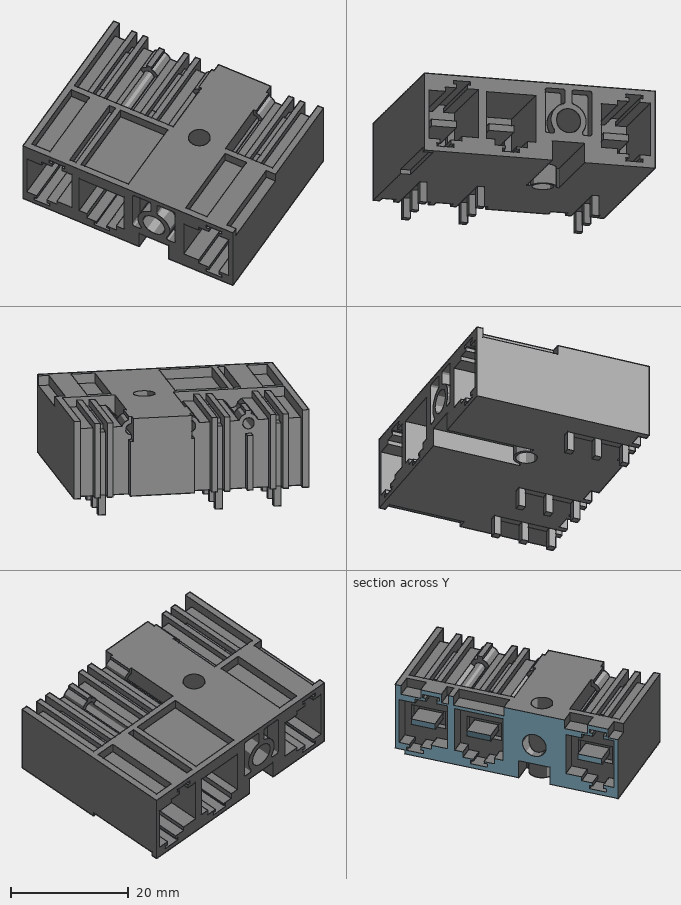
import cadquery as cq

LENGTH = 40.65
DEPTH = 32.0
HEIGHT = 13.6
OVERALL_HEIGHT = 17.1

PITCH = 10.1
FIRST_STATION = 5.12
STATIONS = [FIRST_STATION + PITCH * i for i in range(4)]
LEFT_JACK, MIDDLE_JACK, MOUNT, RIGHT_JACK = STATIONS
JACKS = [LEFT_JACK, MIDDLE_JACK, RIGHT_JACK]
DIVIDERS = [x + PITCH / 2 for x in STATIONS[:3]]
DIVIDER_HALF = 0.5
SIDE_WALL = 1.15

LIP = 1.1
JACK_BACK = 15.0
BAY_FRONT = 16.05
TUBE_FRONT = 25.93
BAY_END = 30.45

TOP_POCKET_DEPTH = 1.7
FLOOR = HEIGHT - TOP_POCKET_DEPTH
UNDER_POCKET_HEIGHT = 0.77

MID_Z = 6.8
CAVITY_HALF = 4.35
LOW_RISE = 3.85
HIGH_RISE = 4.65
KEY_OFFSET = 1.45
KEY_NECK_HALF = 0.98
KEY_HEAD_HALF = 1.5
KEY_NECK_RISE = 5.32
KEY_HEAD_RISE = 5.9
KEY_WALL_HALF = 1.9
MIDDLE_ROOF = 11.18
MIDDLE_STEP_HALF = 2.85
MIDDLE_STEP_RISE = 4.9
APERTURE_WIDTH = 6.2
APERTURE_HEIGHT = 3.4

FIN_WIDTH = 0.98
FIN_TOP = 13.05
TUBE_RADIUS = 1.75
TUBE_BORE = 0.98
TUBE_Z = 11.35
TUBE_HALF_AT_FLOOR = (TUBE_RADIUS**2 - (FLOOR - TUBE_Z) ** 2) ** 0.5
REAR_DIVIDER_TOP = TUBE_Z - TUBE_RADIUS

MOUNT_Y = 16.0
MOUNT_HOLE_RADIUS = 1.83
MOUNT_POST_RADIUS = 2.25
POST_FLARE = 0.3
BORE_RADIUS = 2.1
BORE_Z = 7.2
COLLAR_RADIUS = 3.1
RELIEF_HALF = 4.1
RELIEF_BOTTOM = 4.8
RELIEF_TOP = 12.7
RELIEF_DEPTH = 2.5
RELIEF_FILLET = 0.4
WEB_HALF = 0.6
NOTCH_HALF = 2.85
NOTCH_HEIGHT = 3.4

PLATE_THICKNESS = 1.2
PLATE_FRONT = 18.85
PLATE_BACK = 30.28
PLATE_STEP_Y = 28.25
PLATE_STEP_DROP = 0.8
BLADE_WIDTH = 4.4
BLADE_THICKNESS = 1.18
BLADE_TIP = 6.1
TAIL_WIDTH = 1.2
TAIL_PITCH = 5.1
TAIL_COUNT = 3
TAIL_LENGTH = OVERALL_HEIGHT - HEIGHT


def block(x0, x1, y0, y1, z0, z1):
    """Box between two opposite corners."""
    return cq.Workplane("XY").box(x1 - x0, y1 - y0, z1 - z0, centered=False).translate((x0, y0, z0))


def rod(x, z, radius, y0, y1):
    """Cylinder along Y."""
    return cq.Workplane("XZ", origin=(x, y0, z)).circle(radius).extrude(y0 - y1)


def post(radius, height):
    """Upright cylinder on the mounting axis, standing on the underside."""
    return cq.Workplane("XY").center(MOUNT, MOUNT_Y).circle(radius).extrude(height)


def side_key(x, side):
    """T-shaped key slot above (side = 1) or below (side = -1) the middle of a jack cavity."""
    neck = sorted([MID_Z, MID_Z + side * KEY_NECK_RISE])
    head = sorted([MID_Z + side * KEY_NECK_RISE, MID_Z + side * KEY_HEAD_RISE])
    key = block(x - KEY_NECK_HALF, x + KEY_NECK_HALF, 0, JACK_BACK, *neck)
    return key.union(block(x - KEY_HEAD_HALF, x + KEY_HEAD_HALF, 0, JACK_BACK, *head))


def outer_half_cavity(x, side, key_direction):
    """Upper or lower half of an outer jack cavity, taller on the side that holds the key slot."""
    low = sorted([MID_Z, MID_Z + side * LOW_RISE])
    high = sorted([MID_Z, MID_Z + side * HIGH_RISE])
    tall_edges = sorted([x - key_direction * KEY_OFFSET, x + key_direction * CAVITY_HALF])
    half = block(x - CAVITY_HALF, x + CAVITY_HALF, 0, JACK_BACK, *low)
    half = half.union(block(*tall_edges, 0, JACK_BACK, *high))
    return half.union(side_key(x + key_direction * KEY_OFFSET, side))


def middle_cavity(x):
    """Symmetric jack cavity with one key slot, in its floor."""
    cavity = block(x - CAVITY_HALF, x + CAVITY_HALF, 0, JACK_BACK, MID_Z - LOW_RISE, MIDDLE_ROOF)
    step = block(
        x - MIDDLE_STEP_HALF, x + MIDDLE_STEP_HALF, 0, JACK_BACK, MID_Z - MIDDLE_STEP_RISE, MID_Z
    )
    return cavity.union(step).union(side_key(x, -1))


def terminal_aperture(x):
    """Rectangular opening in the back of a jack cavity, around the terminal blade."""
    half_width = APERTURE_WIDTH / 2
    half_height = APERTURE_HEIGHT / 2
    return block(
        x - half_width, x + half_width, JACK_BACK, BAY_FRONT, MID_Z - half_height, MID_Z + half_height
    )


def top_pockets():
    """Pockets in the top face, between the walls, the dividers and the key slots."""
    key_left = KEY_OFFSET - KEY_WALL_HALF
    key_right = KEY_OFFSET + KEY_WALL_HALF
    spans = [
        (SIDE_WALL, LEFT_JACK + key_left),
        (LEFT_JACK + key_right, DIVIDERS[0] - DIVIDER_HALF),
        (DIVIDERS[0] + DIVIDER_HALF, DIVIDERS[1] - DIVIDER_HALF),
        (DIVIDERS[2] + DIVIDER_HALF, RIGHT_JACK + key_left),
        (RIGHT_JACK + key_right, LENGTH),
    ]
    pockets = cq.Workplane("XY")
    for left, right in spans:
        pockets = pockets.add(block(left, right, LIP, JACK_BACK, FLOOR, HEIGHT))
    return pockets.combine()


def under_pocket():
    """Shallow pocket in the underside, beside the left key slot and open through the left wall."""
    right = LEFT_JACK - KEY_OFFSET - KEY_WALL_HALF
    return block(0, right, LIP, JACK_BACK, 0, UNDER_POCKET_HEIGHT)


def rear_bay(left, right):
    """Bay open at the top, and open at full height behind its floor."""
    bay = block(left, right, BAY_FRONT, BAY_END, FLOOR, HEIGHT)
    return bay.union(block(left, right, BAY_END, DEPTH, 0, HEIGHT))


def guide_fins(x):
    """Two fins that flank the slot of a terminal plate."""
    fins = cq.Workplane("XY")
    for left in (x - PLATE_THICKNESS / 2 - FIN_WIDTH, x + PLATE_THICKNESS / 2):
        fins = fins.add(block(left, left + FIN_WIDTH, BAY_FRONT, DEPTH, 0, FIN_TOP))
    return fins.combine()


def guide_tube(x):
    """Tube on a divider, with a rib on top and the divider carried on to the rear below it."""
    left = x - DIVIDER_HALF
    right = x + DIVIDER_HALF
    tube = rod(x, TUBE_Z, TUBE_RADIUS, TUBE_FRONT, BAY_END)
    rib = block(left, right, TUBE_FRONT, BAY_END, TUBE_Z, HEIGHT)
    divider = block(left, right, BAY_END, DEPTH, 0, REAR_DIVIDER_TOP)
    return tube.union(rib).union(divider)


def guide_channel(x):
    """Bore of a guide tube, with a flared groove in the floor in front of the tube."""
    groove = (
        cq.Workplane("XZ", origin=(x, BAY_FRONT, 0))
        .moveTo(-TUBE_HALF_AT_FLOOR, FLOOR)
        .lineTo(TUBE_HALF_AT_FLOOR, FLOOR)
        .lineTo(TUBE_BORE, TUBE_Z)
        .lineTo(-TUBE_BORE, TUBE_Z)
        .close()
        .extrude(BAY_FRONT - TUBE_FRONT)
    )
    return groove.union(rod(x, TUBE_Z, TUBE_BORE, BAY_FRONT, BAY_END))


def terminal(x):
    """Upright plate with a flat blade to the front and a row of tails below."""
    half_plate = PLATE_THICKNESS / 2
    half_blade = BLADE_WIDTH / 2
    half_thickness = BLADE_THICKNESS / 2
    body = block(x - half_plate, x + half_plate, PLATE_FRONT, PLATE_BACK, 0, FLOOR)
    step = block(
        x - half_plate, x + half_plate, PLATE_STEP_Y, PLATE_BACK, FLOOR - PLATE_STEP_DROP, FLOOR
    )
    body = body.cut(step)
    body = body.union(
        block(
            x - half_blade,
            x + half_blade,
            BLADE_TIP,
            PLATE_FRONT,
            MID_Z - half_thickness,
            MID_Z + half_thickness,
        )
    )
    for i in range(TAIL_COUNT):
        front = PLATE_FRONT + i * TAIL_PITCH
        tail = block(x - half_plate, x + half_plate, front, front + TAIL_WIDTH, -TAIL_LENGTH, 0)
        body = body.union(tail)
    return body


def terminal_slot(x):
    """Slot that holds a terminal plate and its blade, open at the floor, underside and rear."""
    half_plate = PLATE_THICKNESS / 2
    plate_slot = block(x - half_plate, x + half_plate, PLATE_FRONT, DEPTH, 0, FLOOR)
    return plate_slot.union(terminal(x))


def front_reliefs():
    """Two relief pockets either side of the bore collar and of the web above it."""
    reliefs = (
        block(MOUNT - RELIEF_HALF, MOUNT + RELIEF_HALF, 0, RELIEF_DEPTH, RELIEF_BOTTOM, RELIEF_TOP)
        .cut(rod(MOUNT, BORE_Z, COLLAR_RADIUS, 0, RELIEF_DEPTH))
        .cut(block(MOUNT - WEB_HALF, MOUNT + WEB_HALF, 0, RELIEF_DEPTH, BORE_Z, RELIEF_TOP))
    )
    return reliefs.edges("|Y").fillet(RELIEF_FILLET)


def post_flare():
    """Wedges that widen the round post where it meets the back wall of the notch."""
    base = MOUNT_POST_RADIUS + POST_FLARE
    return (
        cq.Workplane("XY")
        .moveTo(MOUNT - base, MOUNT_Y)
        .lineTo(MOUNT + base, MOUNT_Y)
        .lineTo(MOUNT + MOUNT_POST_RADIUS, MOUNT_Y - POST_FLARE)
        .lineTo(MOUNT - MOUNT_POST_RADIUS, MOUNT_Y - POST_FLARE)
        .close()
        .extrude(NOTCH_HEIGHT)
    )


def mount_openings():
    """Front bore and bottom notch, both reaching back to the round post of the mounting hole."""
    bore = rod(MOUNT, BORE_Z, BORE_RADIUS, 0, MOUNT_Y)
    notch = block(MOUNT - NOTCH_HALF, MOUNT + NOTCH_HALF, 0, MOUNT_Y, 0, NOTCH_HEIGHT)
    return bore.union(notch).cut(post(MOUNT_POST_RADIUS, HEIGHT)).cut(post_flare())


def make_housing():
    body = block(0, LENGTH, 0, DEPTH, 0, HEIGHT)

    body = body.cut(rear_bay(SIDE_WALL, DIVIDERS[1]))
    body = body.cut(rear_bay(DIVIDERS[2], LENGTH - SIDE_WALL))
    for x in DIVIDERS:
        body = body.union(guide_tube(x))
    for x in DIVIDERS:
        body = body.cut(guide_channel(x))
    body = body.union(block(DIVIDERS[1], DIVIDERS[2], BAY_FRONT, BAY_END, 0, HEIGHT))

    body = body.cut(outer_half_cavity(LEFT_JACK, 1, 1))
    body = body.cut(outer_half_cavity(LEFT_JACK, -1, -1))
    body = body.cut(middle_cavity(MIDDLE_JACK))
    body = body.cut(outer_half_cavity(RIGHT_JACK, 1, 1))
    body = body.cut(outer_half_cavity(RIGHT_JACK, -1, 1))
    body = body.cut(top_pockets())
    body = body.cut(under_pocket())

    for x in JACKS:
        body = body.union(guide_fins(x))
        body = body.cut(terminal_aperture(x))
        body = body.cut(terminal_slot(x))

    body = body.cut(front_reliefs())
    body = body.cut(mount_openings())
    return body.cut(post(MOUNT_HOLE_RADIUS, HEIGHT))


housing = make_housing()
terminals = [terminal(x) for x in JACKS]

result = cq.Compound.makeCompound([housing.val(), *[t.val() for t in terminals]])